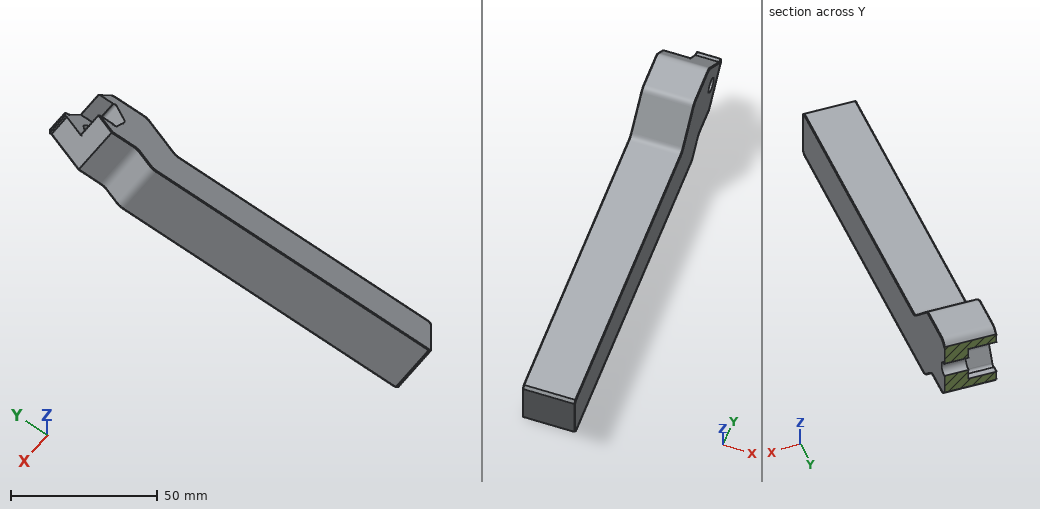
import cadquery as cq
import math

length = 150
shank = 19.0
head_half_height = 12.5
axis_z = shank

tip_top = 1.2
tip_bottom = 0.8
tip_land = 2.0

head_front_y = length - head_half_height
head_rear_y = 122.4
neck_top_y = head_rear_y - head_half_height
step_rear_y = 126.6
step_height = shank - head_half_height
neck_bottom_y = step_rear_y - step_height

bend_radius = 3.8
edge_chamfer = 0.3
end_chamfer = 1.0

seat_depth = 10.2
seat_half_height = 6.8
seat_corner_y = 135.6
seat_back_y = 131.8
relief_radius = 1.0
seat_back_radius = 2.2
screw_y = 139.4
screw_diameter = 5.4


def make_body():
    """Bent bar with 45 degree necks, extruded across its width along X."""
    outline = [
        (0, 0),
        (neck_bottom_y, 0),
        (step_rear_y, step_height),
        (head_front_y, step_height),
        (length - tip_bottom, axis_z - tip_bottom),
        (length, axis_z - tip_bottom),
        (length, axis_z + tip_top),
        (length - tip_land, axis_z + tip_land),
        (head_front_y, axis_z + head_half_height),
        (head_rear_y, axis_z + head_half_height),
        (neck_top_y, shank),
        (0, shank),
    ]
    return cq.Workplane("YZ").polyline(outline).close().extrude(shank)


def round_bend(body, y, z, radius):
    """Round the crosswise edge that passes through the given Y and Z."""
    edge = cq.selectors.NearestToPointSelector((shank / 2, y, z))
    return body.edges("|X").edges(edge).fillet(radius)


def make_seat():
    """Pocket with a V-shaped back and relieved rear corners."""
    outline = [
        (length, axis_z - seat_half_height),
        (seat_corner_y, axis_z - seat_half_height),
        (seat_back_y, axis_z),
        (seat_corner_y, axis_z + seat_half_height),
        (length, axis_z + seat_half_height),
    ]
    seat = cq.Workplane("YZ").polyline(outline).close().extrude(seat_depth)
    back_edge = cq.selectors.NearestToPointSelector((seat_depth / 2, seat_back_y, axis_z))
    seat = seat.edges("|X").edges(back_edge).fillet(seat_back_radius)
    relief_inset = relief_radius / math.sqrt(2)
    relief_z = seat_half_height - relief_inset
    reliefs = (
        cq.Workplane("YZ")
        .pushPoints([(seat_corner_y + relief_inset, axis_z + side * relief_z) for side in (-1, 1)])
        .circle(relief_radius)
        .extrude(seat_depth)
    )
    return seat.union(reliefs)


body = make_body()
body = body.faces("<Y").edges("|X").chamfer(end_chamfer)

for y in (head_front_y, head_rear_y):
    body = round_bend(body, y, axis_z + head_half_height, bend_radius)
body = round_bend(body, neck_top_y, shank, bend_radius)
body = round_bend(body, step_rear_y, step_height, bend_radius)
body = round_bend(body, neck_bottom_y, 0, bend_radius)

body = body.faces("<X or >X").edges().chamfer(edge_chamfer)

screw_hole = (
    cq.Workplane("YZ")
    .center(screw_y, axis_z)
    .circle(screw_diameter / 2)
    .extrude(shank)
)

result = body.cut(make_seat()).cut(screw_hole)